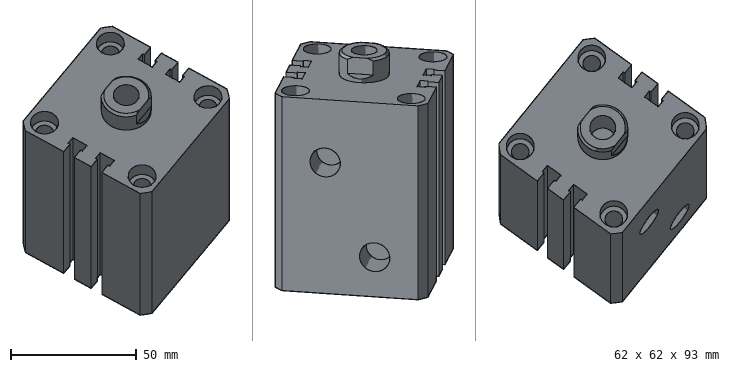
import cadquery as cq
import math

TOTAL_HEIGHT = 93.0
BODY_WIDTH = 62.0
ROD_PROJECTION = 10.0
BODY_HEIGHT = TOTAL_HEIGHT - ROD_PROJECTION
CORNER_TURN_DIAMETER = 83.05

BOLT_SPACING = 47.0
BOLT_HOLE_DIAMETER = 7.0
COUNTERBORE_DIAMETER = 11.1
COUNTERBORE_DEPTH = 6.5

SLOT_OFFSET = 6.6
SLOT_MOUTH_WIDTH = 5.1
SLOT_INNER_WIDTH = 6.8
SLOT_LIP_DEPTH = 4.5
SLOT_DEPTH = 7.7

PORT_MOUTH_DIAMETER = 12.3
PORT_FLOOR_DIAMETER = 11.25
PORT_DEPTH = 12.0
PORT_OFFSET_Y = 10.0
UPPER_PORT_HEIGHT = 56.1
LOWER_PORT_HEIGHT = 17.0

ROD_DIAMETER = 20.0
ROD_END_CHAMFER = 1.0
ROD_INSERTION = 11.2
FLATS_WIDTH = 17.0
FLATS_LENGTH = 7.0

ROD_HOLE_DIAMETER = 10.2
ROD_HOLE_DEPTH = 15.0
DRILL_POINT_ANGLE = 120.0


def t_slot(x, side):
    """Full-height T-slot cutter at x, on the +Y (side=1) or -Y (side=-1) face."""
    face_y = side * BODY_WIDTH / 2
    mouth = cq.Workplane("XY").box(
        SLOT_MOUTH_WIDTH, 2 * SLOT_DEPTH, BODY_HEIGHT, centered=(True, True, False)
    ).translate((x, face_y, 0))
    inner_depth = SLOT_DEPTH - SLOT_LIP_DEPTH
    inner_y = face_y - side * (SLOT_LIP_DEPTH + inner_depth / 2)
    inner = cq.Workplane("XY").box(
        SLOT_INNER_WIDTH, inner_depth, BODY_HEIGHT, centered=(True, True, False)
    ).translate((x, inner_y, 0))
    return mouth.union(inner)


def port(y, z):
    """Tapered blind port cutter, entering from the -X face along +X."""
    cone = cq.Solid.makeCone(
        PORT_MOUTH_DIAMETER / 2,
        PORT_FLOOR_DIAMETER / 2,
        PORT_DEPTH,
        pnt=cq.Vector(-BODY_WIDTH / 2, y, z),
        dir=cq.Vector(1, 0, 0),
    )
    return cq.Workplane(cone)


def make_housing():
    block = cq.Workplane("XY").rect(BODY_WIDTH, BODY_WIDTH).extrude(BODY_HEIGHT)
    turned = cq.Workplane("XY").circle(CORNER_TURN_DIAMETER / 2).extrude(BODY_HEIGHT)
    housing = block.intersect(turned)

    housing = (
        housing.faces(">Z").workplane(origin=(0, 0, BODY_HEIGHT))
        .rect(BOLT_SPACING, BOLT_SPACING, forConstruction=True).vertices()
        .cboreHole(BOLT_HOLE_DIAMETER, COUNTERBORE_DIAMETER, COUNTERBORE_DEPTH)
    )

    for side in (-1, 1):
        for x in (-SLOT_OFFSET, SLOT_OFFSET):
            housing = housing.cut(t_slot(x, side))

    housing = housing.cut(port(PORT_OFFSET_Y, UPPER_PORT_HEIGHT))
    housing = housing.cut(port(-PORT_OFFSET_Y, LOWER_PORT_HEIGHT))

    bore = (
        cq.Workplane("XY").workplane(offset=BODY_HEIGHT - ROD_INSERTION)
        .circle(ROD_DIAMETER / 2).extrude(ROD_INSERTION)
    )
    return housing.cut(bore)


def flat_cutter():
    """Material removed for the +X wrench flat, with a 45 degree run-out below it."""
    flat_x = FLATS_WIDTH / 2
    outer_x = ROD_DIAMETER
    flat_bottom = TOTAL_HEIGHT - FLATS_LENGTH
    return (
        cq.Workplane("XZ")
        .moveTo(flat_x, TOTAL_HEIGHT)
        .lineTo(outer_x, TOTAL_HEIGHT)
        .lineTo(outer_x, flat_bottom - (outer_x - flat_x))
        .lineTo(flat_x, flat_bottom)
        .close()
        .extrude(ROD_DIAMETER / 2, both=True)
    )


def drilled_hole():
    """Blind hole with a conical drill point, down from the rod end."""
    radius = ROD_HOLE_DIAMETER / 2
    floor_z = TOTAL_HEIGHT - ROD_HOLE_DEPTH
    point_height = radius / math.tan(math.radians(DRILL_POINT_ANGLE / 2))
    return (
        cq.Workplane("XZ")
        .moveTo(0, TOTAL_HEIGHT)
        .lineTo(radius, TOTAL_HEIGHT)
        .lineTo(radius, floor_z)
        .lineTo(0, floor_z - point_height)
        .close()
        .revolve(360, (0, 0, 0), (0, 1, 0))
    )


def make_rod():
    rod = (
        cq.Workplane("XY").workplane(offset=BODY_HEIGHT - ROD_INSERTION)
        .circle(ROD_DIAMETER / 2).extrude(ROD_INSERTION + ROD_PROJECTION)
        .faces(">Z").chamfer(ROD_END_CHAMFER)
    )
    flat = flat_cutter()
    rod = rod.cut(flat).cut(flat.mirror("YZ"))
    return rod.cut(drilled_hole())


housing = make_housing()
rod = make_rod()
result = cq.Compound.makeCompound([housing.val(), rod.val()])